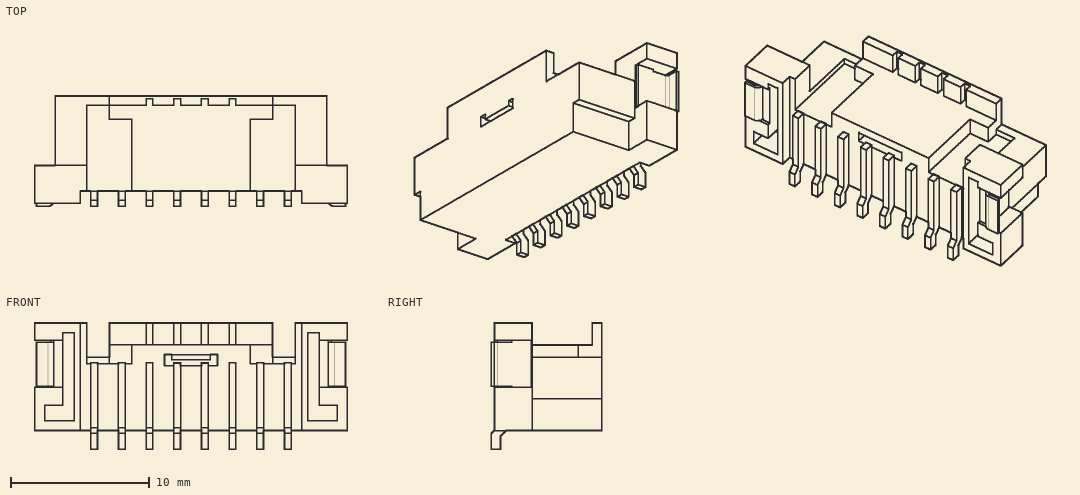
import cadquery as cq


length = 22.6
housing_height = 7.8
back_to_front = 6.9
core_half_width = 7.53
deck_z = 4.84
rim_z = 5.3
rim_depth = 0.7

cover_z = 6.2
cover_half_width = 4.3
shoulder_half_width = 5.9
shoulder_depth = 1.7
wall_notch_depth = 0.5

wing_half_width = 9.83
wing_foot_half_width = 9.13
wing_underside_z = 2.3

lug_back = 5.05
lug_front = 7.77
lug_inner_x = 8.0
lug_half_width = length / 2
notch_bottom_z = 3.15
notch_top_z = 6.53
notch_wall_x = 9.92
notch_front_step = 0.23

channel_inner_x = 8.45
channel_outer_x = 9.29
channel_foot_x = 10.58
channel_bottom_z = 0.7
channel_foot_z = 1.83
channel_top_z = 7.07
channel_depth = 2.0

clip_thickness = 0.23
clip_bend_radius = 0.2
clip_bottom_z = 3.2
clip_top_z = 6.4
clip_tip_x = 11.19
clip_wide_front = 6.5
clip_back = 5.1

window_half_width = 1.9
window_bottom_z = 4.7
window_top_z = 5.5
catch_half_width = 1.4
catch_drop = 0.38
catch_depth = 0.7
catch_undercut = 0.07

pin_count = 8
pin_pitch = 2.0
pin_width = 0.5
pin_thickness = 0.68
pin_top_z = 4.9
pin_front = 7.57
pin_kink = 0.43
pin_kink_top_z = 0.23
pin_kink_inner_z = 0.02
pin_tip_z = -1.35


def block(x_range, depth_range, z_range):
    """Box between two X values, two depths measured from the back face toward -Y, and two Z values."""
    (x0, x1), (d0, d1), (z0, z1) = x_range, depth_range, z_range
    return cq.Workplane("XY").box(x1 - x0, d1 - d0, z1 - z0, centered=False).translate((x0, -d1, z0))


def centered_block(half_width, depth_range, z_range):
    return block((-half_width, half_width), depth_range, z_range)


def make_core():
    core = centered_block(core_half_width, (0, back_to_front), (0, deck_z))
    core = core.union(centered_block(core_half_width, (0, rim_depth), (0, rim_z)))
    core = core.union(centered_block(cover_half_width, (0, back_to_front), (0, cover_z)))
    core = core.union(centered_block(shoulder_half_width, (0, shoulder_depth), (deck_z, cover_z)))
    return core.union(centered_block(shoulder_half_width, (0, rim_depth), (0, housing_height)))


def make_end():
    """Wing and lug at the +X end."""
    foot = block((core_half_width, wing_foot_half_width), (0, lug_back), (0, wing_underside_z))
    wing = block((core_half_width, wing_half_width), (0, lug_back), (wing_underside_z, rim_z))
    lug = block((core_half_width, lug_inner_x), (lug_back, back_to_front), (0, housing_height))
    lug = lug.union(block((lug_inner_x, lug_half_width), (lug_back, lug_front), (0, housing_height)))

    notch_z = (notch_bottom_z, notch_top_z)
    notch = block((notch_wall_x, lug_half_width), (lug_back, lug_front), notch_z)
    step = block((channel_outer_x, lug_half_width), (lug_front - notch_front_step, lug_front), notch_z)
    channel_depths = (lug_front - channel_depth, lug_front)
    slot = block((channel_inner_x, channel_outer_x), channel_depths, (channel_bottom_z, channel_top_z))
    slot_foot = block((channel_inner_x, channel_foot_x), channel_depths, (channel_bottom_z, channel_foot_z))
    lug = lug.cut(notch).cut(step).cut(slot).cut(slot_foot)
    return foot.union(wing).union(lug)


def make_clip():
    """Bent sheet-metal clip at the +X end: a leg along the notch wall and an outward foot."""
    foot_front = lug_front + clip_thickness
    leg_outer_x = notch_wall_x + clip_thickness
    outer_radius = clip_bend_radius + clip_thickness
    clip = (
        cq.Workplane("XY", origin=(0, 0, clip_bottom_z))
        .moveTo(notch_wall_x, -clip_back)
        .lineTo(notch_wall_x, -(foot_front - outer_radius))
        .radiusArc((notch_wall_x + outer_radius, -foot_front), -outer_radius)
        .lineTo(clip_tip_x, -foot_front)
        .lineTo(clip_tip_x, -lug_front)
        .lineTo(leg_outer_x + clip_bend_radius, -lug_front)
        .radiusArc((leg_outer_x, -(lug_front - clip_bend_radius)), clip_bend_radius)
        .lineTo(leg_outer_x, -clip_back)
        .close()
        .extrude(clip_top_z - clip_bottom_z)
    )
    wide_leg = block(
        (notch_wall_x, leg_outer_x), (clip_back, clip_wide_front), (notch_bottom_z, notch_top_z)
    )
    return clip.union(wide_leg)


def make_catch():
    """Catch under the window ceiling at the back, its front face undercut to hook a latch."""
    return (
        cq.Workplane("YZ")
        .moveTo(catch_undercut - catch_depth, window_top_z)
        .lineTo(0, window_top_z)
        .lineTo(0, window_top_z - catch_drop)
        .lineTo(-catch_depth, window_top_z - catch_drop)
        .close()
        .extrude(catch_half_width, both=True)
    )


def make_pin(x):
    pin_back = pin_front - pin_thickness
    return (
        cq.Workplane("YZ", origin=(x, 0, 0))
        .moveTo(-pin_back, pin_top_z)
        .lineTo(-pin_front, pin_top_z)
        .lineTo(-pin_front, pin_kink_top_z)
        .lineTo(-pin_front - pin_kink, pin_kink_top_z - pin_kink)
        .lineTo(-pin_front - pin_kink, pin_tip_z)
        .lineTo(-pin_back - pin_kink, pin_tip_z)
        .lineTo(-pin_back - pin_kink, pin_kink_inner_z - pin_kink)
        .lineTo(-pin_back, pin_kink_inner_z)
        .close()
        .extrude(pin_width / 2, both=True)
    )


pin_positions = [(i - (pin_count - 1) / 2) * pin_pitch for i in range(pin_count)]

result = make_core()
result = result.cut(
    centered_block(window_half_width, (0, back_to_front), (window_bottom_z, window_top_z))
)
result = result.union(make_catch())
for x in pin_positions[2:-2]:
    notch_x = (x - pin_width / 2, x + pin_width / 2)
    notch_depths = (rim_depth - wall_notch_depth, rim_depth)
    result = result.cut(block(notch_x, notch_depths, (cover_z, housing_height)))

end = make_end().union(make_clip())
result = result.union(end).union(end.mirror("YZ"))

for x in pin_positions:
    result = result.union(make_pin(x))